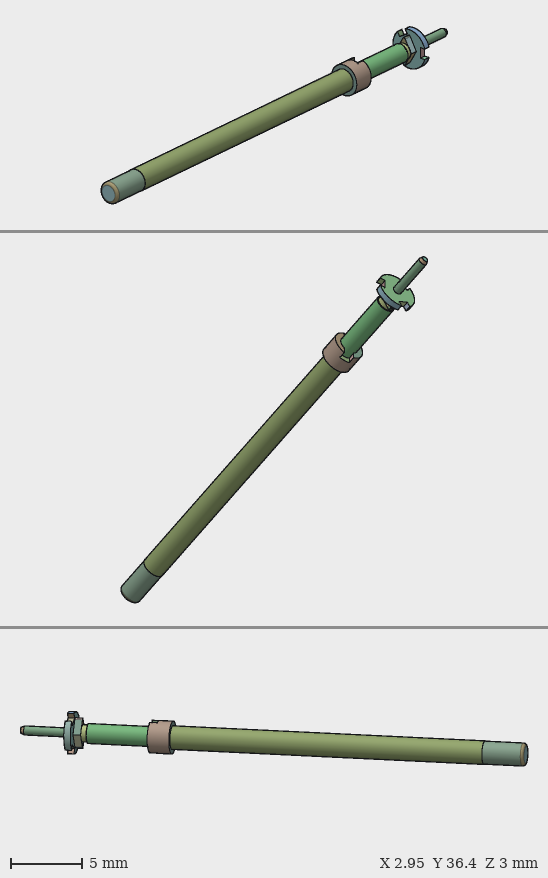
import cadquery as cq
import math

total_length = 36.4

tube_radius = 0.85
end_cap_radius = 0.82
end_cap_length = 3.0
end_rounding = 0.22

collar_front = 25.48
collar_back = 27.05
collar_radius = 1.15
collar_slot_width = 0.8
collar_slot_length = 0.55

sleeve_radius = 0.71
sleeve_back = 31.55
neck_radius = 0.62

lug_front = 31.95
lug_face_slope = math.radians(30)
lug_half_width = 0.675
lug_shoulder_height = 1.0
lug_tip_height = 1.1

flange_front = 32.5
flange_back = 32.98
flange_radius = 1.5
notch_width = 0.8
notch_floor_distance = 1.037
notch_count = 3

tip_radius = 0.33
tip_chamfer_length = 0.25
tip_chamfer_depth = 0.1


def section_plane(station):
    """Plane across the pin axis; local x is X, local y is Z, extrusion runs to -Y."""
    return cq.Workplane("XZ", origin=(0, station, 0))


def cylinder(radius, front, back):
    return section_plane(back).circle(radius).extrude(back - front)


def box_across(size_x, size_z, front, back):
    return section_plane(back).rect(size_x, size_z).extrude(back - front)


def make_tube():
    end_cap = cylinder(end_cap_radius, 0, end_cap_length).faces("<Y").edges().fillet(end_rounding)
    return cylinder(tube_radius, end_cap_length, collar_front).union(end_cap)


def make_collar():
    """Collar with a keyway slot above and below, open at its rear face."""
    collar = cylinder(collar_radius, collar_front, collar_back)
    slot = box_across(
        collar_slot_width, 2 * collar_radius, collar_back - collar_slot_length, collar_back
    )
    return collar.cut(slot)


def make_lug():
    """Diamond block in front of the flange, with blunted points above and below."""
    shoulder_x = lug_half_width - lug_shoulder_height * math.tan(lug_face_slope)
    corners = [
        (lug_half_width, 0),
        (shoulder_x, lug_shoulder_height),
        (0, lug_tip_height),
        (-shoulder_x, lug_shoulder_height),
        (-lug_half_width, 0),
        (-shoulder_x, -lug_shoulder_height),
        (0, -lug_tip_height),
        (shoulder_x, -lug_shoulder_height),
    ]
    return section_plane(flange_front).polyline(corners).close().extrude(flange_front - lug_front)


def make_flange():
    """Disc with evenly spaced, flat-floored radial notches in its rim."""
    disc = cylinder(flange_radius, flange_front, flange_back)
    notch_depth = flange_radius - notch_floor_distance
    for index in range(notch_count):
        notch = (
            section_plane(flange_back)
            .center(notch_floor_distance + notch_depth / 2, 0)
            .rect(notch_depth, notch_width)
            .extrude(flange_back - flange_front)
            .rotate((0, 0, 0), (0, 1, 0), index * 360 / notch_count)
        )
        disc = disc.cut(notch)
    return disc


def make_tip():
    profile = [
        (0, flange_back),
        (tip_radius, flange_back),
        (tip_radius, total_length - tip_chamfer_length),
        (tip_radius - tip_chamfer_depth, total_length),
        (0, total_length),
    ]
    return cq.Workplane("XY").polyline(profile).close().revolve(360, (0, 0), (0, 1))


sleeve = cylinder(sleeve_radius, collar_front, sleeve_back)
neck = cylinder(neck_radius, sleeve_back, lug_front)

result = make_tube()
for section in (make_collar(), sleeve, neck, make_lug(), make_flange(), make_tip()):
    result = result.union(section)